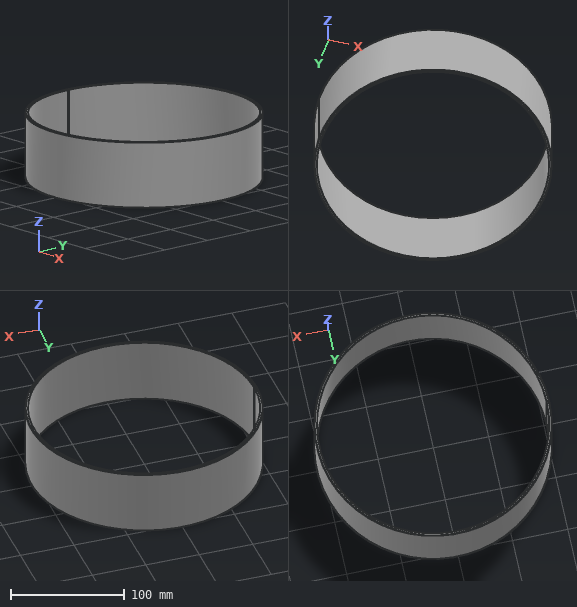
import cadquery as cq

outer_diameter = 210.0
wall_thickness = 2.5
height = 60.0
outer_chamfer = 0.5
inner_chamfer = 0.2
slit_angle = 1.0

outer_radius = outer_diameter / 2
inner_radius = outer_radius - wall_thickness
sweep_angle = 360.0 - slit_angle


def make_wall_section():
    """Wall cross-section in the XZ plane at -X, with chamfered outer and inner rim corners."""
    return (
        cq.Workplane("XZ")
        .moveTo(-outer_radius, outer_chamfer)
        .lineTo(-outer_radius, height - outer_chamfer)
        .lineTo(-outer_radius + outer_chamfer, height)
        .lineTo(-inner_radius - inner_chamfer, height)
        .lineTo(-inner_radius, height - inner_chamfer)
        .lineTo(-inner_radius, inner_chamfer)
        .lineTo(-inner_radius - inner_chamfer, 0)
        .lineTo(-outer_radius + outer_chamfer, 0)
        .close()
    )


def make_split_ring():
    """Ring swept about Z from -X, stopping short of a full turn to leave a slit at +Y of the start."""
    axis_start = (0, 0, 0)
    axis_end = (0, 1, 0)
    return make_wall_section().revolve(sweep_angle, axis_start, axis_end)


result = make_split_ring()